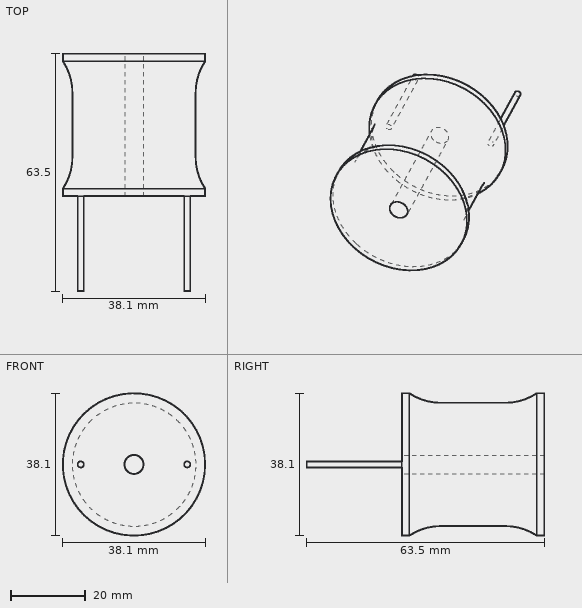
import cadquery as cq
import math

body_length = 38.1
flange_radius = 19.05
rim_thickness = 2.05
core_radius = 16.5
flare_length = 8.4
bore_diameter = 5.0

pin_diameter = 1.65
pin_length = 25.4
pin_spacing = 28.45

flare_rise = flange_radius - core_radius
flare_radius = (flare_length**2 + flare_rise**2) / (2 * flare_rise)
half_angle = math.asin(flare_length / flare_radius) / 2
mid_radius = core_radius + flare_radius * (1 - math.cos(half_angle))
mid_offset = flare_radius * math.sin(half_angle)

front_rim_end = rim_thickness
front_core_end = front_rim_end + flare_length
back_rim_end = body_length - rim_thickness
back_core_end = back_rim_end - flare_length


def make_body():
    """Revolve the flanged profile about Y and bore it through."""
    profile = (
        cq.Workplane("XY")
        .lineTo(flange_radius, 0)
        .lineTo(flange_radius, front_rim_end)
        .threePointArc((mid_radius, front_core_end - mid_offset), (core_radius, front_core_end))
        .lineTo(core_radius, back_core_end)
        .threePointArc((mid_radius, back_core_end + mid_offset), (flange_radius, back_rim_end))
        .lineTo(flange_radius, body_length)
        .lineTo(0, body_length)
        .close()
    )
    body = profile.revolve(360, (0, 0, 0), (0, 1, 0))
    bore = cq.Workplane("XZ").circle(bore_diameter / 2).extrude(-body_length)
    return body.cut(bore)


def make_pins():
    """Two round pins pointing toward -Y, side by side along X."""
    return (
        cq.Workplane("XZ")
        .pushPoints([(-pin_spacing / 2, 0), (pin_spacing / 2, 0)])
        .circle(pin_diameter / 2)
        .extrude(pin_length)
    )


result = make_body().union(make_pins())